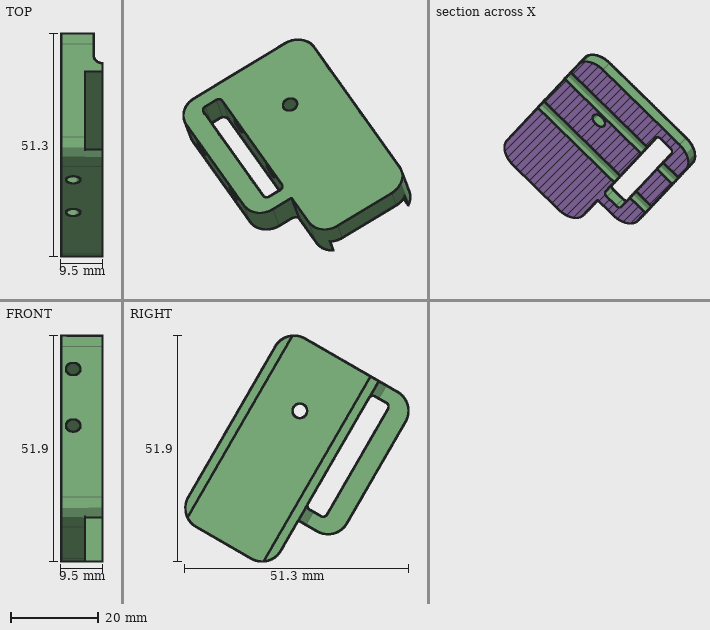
import cadquery as cq

thickness = 9.5
body_width = 24.6
body_length = 50.0
loop_width = 10.0
loop_length = 37.0
corner_radius = 5.0
tilt = -30.0

slot_width = 5.0
slot_length = 30.0
slot_corner_radius = 1.0

channel_width = 20.2
channel_floor = 5.5

loop_thickness = 7.5
blend_radius = thickness - loop_thickness

hole_diameter = 3.3
face_hole_from_end = 15.0
edge_hole_spacing = 15.0
edge_hole_x = channel_floor / 2

total_width = body_width + loop_width
loop_bottom = body_length - loop_length
loop_middle = body_length - loop_length / 2


def box(x_range, y_range, z_range):
    """Box spanning the given (low, high) ranges."""
    sizes = [high - low for low, high in (x_range, y_range, z_range)]
    corner = (x_range[0], y_range[0], z_range[0])
    return cq.Workplane("XY").box(*sizes, centered=False).translate(corner)


def rounded_block(y_range, z_range, radius):
    """Full-thickness block with all four corners rounded."""
    return box((0, thickness), y_range, z_range).edges("|X").fillet(radius)


def make_plate():
    """Rounded body joined to a shorter block that also spans the loop; their inner corner stays sharp."""
    body = rounded_block((0, body_width), (0, body_length), corner_radius)
    upper_block = rounded_block((0, total_width), (loop_bottom, body_length), corner_radius)
    return body.union(upper_block)


def strap_slot():
    slot_y = (body_width, body_width + slot_width)
    slot_z = (loop_middle - slot_length / 2, loop_middle + slot_length / 2)
    return rounded_block(slot_y, slot_z, slot_corner_radius)


def channel():
    side_rail = (body_width - channel_width) / 2
    return box((channel_floor, thickness), (side_rail, body_width - side_rail), (0, body_length))


def loop_relief():
    """Material removed from the +X face of the loop, rounded where it meets the body."""
    relief = box((loop_thickness, thickness), (body_width, total_width), (0, body_length))
    blend_y = body_width + blend_radius
    blend_strip = box((loop_thickness, thickness), (body_width, blend_y), (0, body_length))
    blend_round = (
        cq.Workplane("XY")
        .center(thickness, blend_y)
        .circle(blend_radius)
        .extrude(body_length)
    )
    return relief.cut(blend_strip.cut(blend_round))


def face_hole():
    return (
        cq.Workplane("YZ")
        .center(body_width / 2, body_length - face_hole_from_end)
        .circle(hole_diameter / 2)
        .extrude(thickness)
    )


def edge_hole(z):
    """Hole across the full width, from the -Y edge through the slot and out of the loop."""
    direction = cq.Vector(0, 1, 0)
    start = cq.Vector(edge_hole_x, 0, z)
    return cq.Workplane(cq.Solid.makeCylinder(hole_diameter / 2, total_width, start, direction))


plate = make_plate()
plate = plate.cut(strap_slot())
plate = plate.cut(channel())
plate = plate.cut(loop_relief())
plate = plate.cut(face_hole())
for side in (-1, 1):
    plate = plate.cut(edge_hole(loop_middle + side * edge_hole_spacing / 2))

result = plate.rotate((0, 0, 0), (1, 0, 0), tilt)